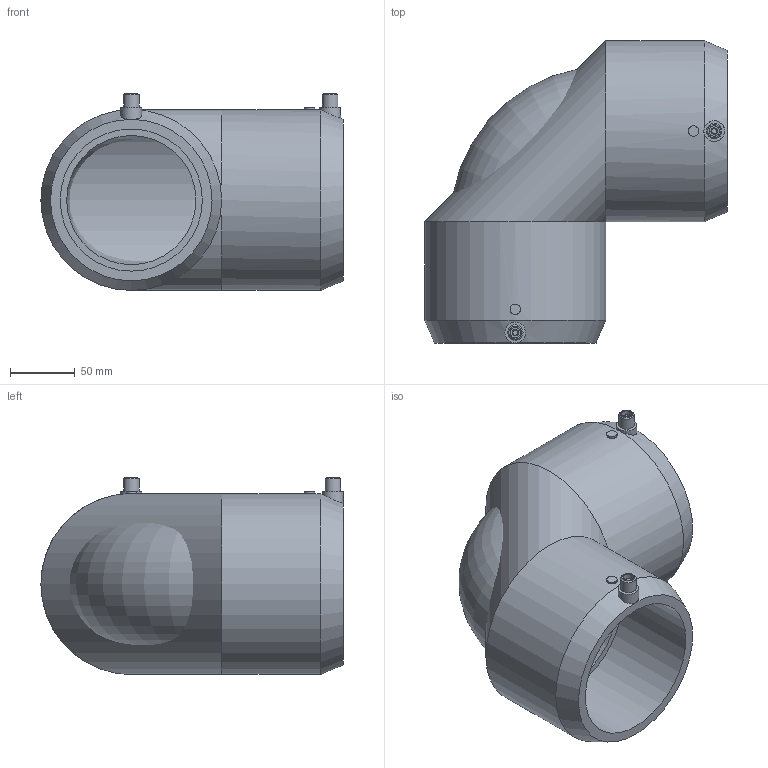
import cadquery as cq

outer_radius = 70.0
bore_radius = 50.0
socket_radius = 55.0
socket_depth = 70.0
end_radius = 62.5
taper_length = 17.5
bend_radius = outer_radius
overall_reach = 164.0
leg_length = overall_reach - bend_radius

shroud_radius = 8.0
shroud_top = 72.0
front_terminal_inset = 7.98
side_terminal_inset = 10.0
terminal_radius = 6.0
terminal_top = 82.5
terminal_edge = 1.0
terminal_bore_radius = 4.0
terminal_bore_depth = 8.0
contact_radius = 2.5
contact_top = 80.0
contact_edge = 0.5

indicator_radius = 4.0
indicator_inset = 26.0
indicator_top = 71.5

root_height = (end_radius + socket_radius) / 2


def bend(radius):
    """Quarter turn from the -Y leg to the +X leg about the inner corner."""
    centre_line = cq.Workplane("XY").moveTo(0, -bend_radius).radiusArc((bend_radius, 0), bend_radius)
    return cq.Workplane("XZ", origin=(0, -bend_radius, 0)).circle(radius).sweep(centre_line)


def socket_body():
    """Straight -Y leg, solid, with a tapered mouth."""
    half_section = [
        (0, -bend_radius),
        (outer_radius, -bend_radius),
        (outer_radius, taper_length - overall_reach),
        (end_radius, -overall_reach),
        (0, -overall_reach),
    ]
    return cq.Workplane("XY").polyline(half_section).close().revolve(360, (0, 0, 0), (0, 1, 0))


def bore_from_mouth(radius, depth):
    """Cylinder running from the -Y mouth into the leg."""
    return cq.Workplane("XZ", origin=(0, -overall_reach, 0)).circle(radius).extrude(-depth)


def upright_pin(radius, inset, bottom, top):
    """Vertical cylinder on the -Y leg, its axis set back from the mouth."""
    base = cq.Workplane("XY", origin=(0, inset - overall_reach, bottom))
    return base.circle(radius).extrude(top - bottom)


def terminal(inset):
    """A shroud, a hollow tube and a contact pin inside the tube."""
    shroud = upright_pin(shroud_radius, inset, end_radius, shroud_top)
    tube = upright_pin(terminal_radius, inset, root_height, terminal_top)
    tube = tube.faces(">Z").edges().chamfer(terminal_edge)
    cavity_floor = terminal_top - terminal_bore_depth
    cavity = upright_pin(terminal_bore_radius, inset, cavity_floor, terminal_top)
    contact = upright_pin(contact_radius, inset, cavity_floor, contact_top)
    contact = contact.faces(">Z").edges().chamfer(contact_edge)
    return shroud.union(tube).cut(cavity.cut(contact))


def leg(terminal_inset):
    """Outer shape of a leg pointing along -Y, with its terminal and indicator."""
    indicator = upright_pin(indicator_radius, indicator_inset, root_height, indicator_top)
    return socket_body().union(terminal(terminal_inset)).union(indicator)


def to_side_leg(shape):
    """Turn a shape on the -Y leg onto the +X leg."""
    return shape.rotate((0, 0, 0), (0, 0, 1), 90)


outside = bend(outer_radius)
outside = outside.union(leg(front_terminal_inset))
outside = outside.union(to_side_leg(leg(side_terminal_inset)))

through_bore = bore_from_mouth(bore_radius, leg_length)
stepped_bore = through_bore.union(bore_from_mouth(socket_radius, socket_depth))

result = outside.cut(bend(bore_radius))
result = result.cut(stepped_bore)
result = result.cut(to_side_leg(stepped_bore))